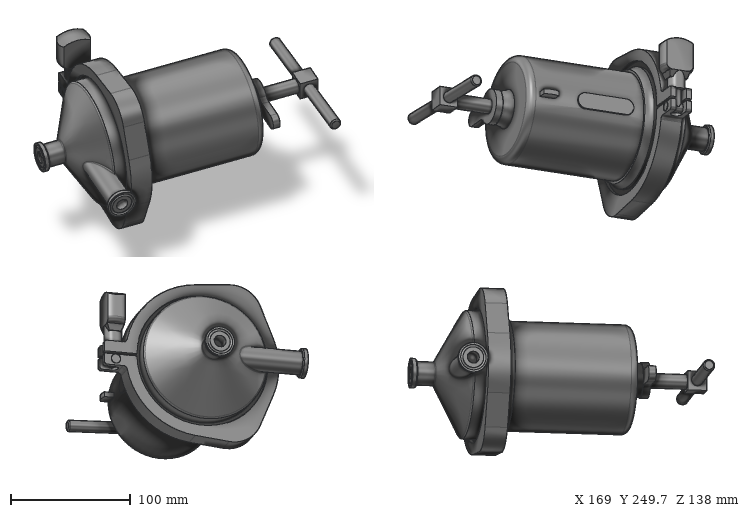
import cadquery as cq
import math

total_length = 249.7
collar_front = 44.0
clamp_front = 54.2
clamp_width = 19.0
clamp_mid = clamp_front + clamp_width / 2
clamp_back = clamp_front + clamp_width
tank_front = 80.1
tank_back = 185.3
lever_front = 194.8
lever_back = 201.0

tank_radius = 46.0
tank_edge_fillet = 6.2
collar_radius = 53.7
collar_chamfer = 1.2
flare_radius = 48.2
flare_root_radius = 51.7
flare_bulge = 0.7
neck_wide_radius = 16.7
neck_narrow_radius = 14.0
neck_bulge = 0.5

clamp_bore_radius = 56.7
flange_rim_radius = 63.7
flange_root_half = 6.2
flange_rim_half = 3.0

pick_margin = 0.2

tube_radius = 10.0
ferrule_radius = 12.5
ferrule_thickness = 4.2
ferrule_chamfer = 1.0
ferrule_bore_radius = 5.0
ferrule_bore_depth = 12.5
gasket_ring_radius = 9.7
gasket_groove_radius = 1.0
outlet_length = 19.5
inlet_y = 38.2
inlet_root_x = 23.0
inlet_end_x = 84.0
weld_fillet = 1.0

block_size = 16.2
stem_radius = 6.2
bar_span = 127.5
bar_radius = 4.87
bar_chamfer = 1.12
bar_tilt = 3.0
lever_disc_radius = 15.0
lever_tip_x = 40.7
lever_half_width = 6.5
lever_fillet = 6.5

tab_reach = 55.2
tab_length = 13.5
tab_mid_y = 168.5
tab_thickness = 4.2
tab_bulge = 1.2
plate_reach = 47.5
plate_length = 51.0
plate_mid_y = 115.4
plate_width = 13.7

ring_radius = 66.5
lobe_radius = 26.5
lobe_x = 25.7
lobe_z = 42.5
ear_end_x = -85.0
ear_half_height = 10.5
ear_corner_fillet = 2.2
ear_root_fillet = 3.5
split_gap = 2.0
slot_width = 9.2
bolt_x = -75.0
bolt_radius = 4.12
pin_z = -5.0
pin_radius = 4.0
pin_overhang = 0.5
knob_depth = 15.0
knob_radius = 14.2
knob_bottom = 26.0
knob_top = 54.5
knob_crown_radius = 23.7
knob_bottom_fillet = 4.7
knob_taper_bottom = 20.2
taper_top_y = 19.0
taper_bottom_x = 10.5
taper_bottom_y = 15.7


def along_y(x, z, y):
    """Workplane at station y whose extrusions run toward +Y; local x is X, local y is -Z."""
    return cq.Workplane("XZ", origin=(x, y, z)).transformed(rotate=(180, 0, 0))


def y_cylinder(radius, y_start, y_end, x=0, z=0):
    return along_y(x, z, y_start).circle(radius).extrude(y_end - y_start)


def bulged_mid(start, end, bulge):
    """Middle point of a concave arc: the chord's middle moved toward the axis."""
    return ((start[0] + end[0]) / 2 - bulge, (start[1] + end[1]) / 2)


def make_ferrule_tube(length):
    """Tube along +Y from its flanged face at y = 0, with a gasket groove and a blind bore."""
    tube = y_cylinder(tube_radius, 0, length)
    flange = y_cylinder(ferrule_radius, 0, ferrule_thickness).faces(">Y").chamfer(ferrule_chamfer)
    groove = (
        cq.Workplane("XY")
        .center(gasket_ring_radius, 0)
        .circle(gasket_groove_radius)
        .revolve(360, (-gasket_ring_radius, 0), (-gasket_ring_radius, 1))
    )
    bore = y_cylinder(ferrule_bore_radius, 0, ferrule_bore_depth)
    return tube.union(flange).cut(groove).cut(bore)


def make_flange():
    """Solid disc with tapered rim, added to the vessel and cut from the clamp."""
    return (
        cq.Workplane("XY")
        .moveTo(0, clamp_mid - flange_root_half)
        .lineTo(clamp_bore_radius, clamp_mid - flange_root_half)
        .lineTo(flange_rim_radius, clamp_mid - flange_rim_half)
        .lineTo(flange_rim_radius, clamp_mid + flange_rim_half)
        .lineTo(clamp_bore_radius, clamp_mid + flange_root_half)
        .lineTo(0, clamp_mid + flange_root_half)
        .close()
        .revolve(360, (0, 0), (0, 1))
    )


def make_shell():
    """Revolved cone, collar, flare, tank and neck."""
    collar_edge = collar_radius - collar_chamfer
    flare_start = (flare_root_radius, clamp_back)
    flare_end = (flare_radius, tank_front)
    neck_start = (neck_wide_radius, tank_back)
    neck_end = (neck_narrow_radius, lever_front)
    round_centre = (tank_radius - tank_edge_fillet, tank_back - tank_edge_fillet)
    diagonal = tank_edge_fillet * math.sqrt(0.5)
    return (
        cq.Workplane("XY")
        .moveTo(0, outlet_length)
        .lineTo(tube_radius, outlet_length)
        .lineTo(collar_edge, collar_front)
        .lineTo(collar_radius, collar_front + collar_chamfer)
        .lineTo(collar_radius, clamp_mid)
        .lineTo(flare_root_radius, clamp_mid)
        .lineTo(*flare_start)
        .threePointArc(bulged_mid(flare_start, flare_end, flare_bulge), flare_end)
        .lineTo(tank_radius, tank_front)
        .lineTo(tank_radius, round_centre[1])
        .threePointArc((round_centre[0] + diagonal, round_centre[1] + diagonal), (round_centre[0], tank_back))
        .lineTo(*neck_start)
        .threePointArc(bulged_mid(neck_start, neck_end, neck_bulge), neck_end)
        .lineTo(0, lever_front)
        .close()
        .revolve(360, (0, 0), (0, 1))
    )


def make_lever():
    """Disc on the neck with a round-ended arm toward +X, blended into the disc."""
    thickness = lever_back - lever_front
    disc = y_cylinder(lever_disc_radius, lever_front, lever_back)
    arm_length = lever_tip_x - lever_half_width
    arm = along_y(arm_length / 2, 0, lever_front).rect(arm_length, 2 * lever_half_width).extrude(thickness)
    tip = y_cylinder(lever_half_width, lever_front, lever_back, x=arm_length)
    corner_x = math.sqrt(lever_disc_radius**2 - lever_half_width**2)
    corners = cq.selectors.BoxSelector(
        (corner_x - pick_margin, lever_front, -lever_half_width - pick_margin),
        (corner_x + pick_margin, lever_back, lever_half_width + pick_margin),
    )
    return disc.union(arm).union(tip).edges("|Y").edges(corners).fillet(lever_fillet)


def make_handle():
    """Stem, square block and a slightly tilted cross bar."""
    block_mid = total_length - block_size / 2
    stem = y_cylinder(stem_radius, lever_front, block_mid)
    block = cq.Workplane("XY").box(block_size, block_size, block_size).translate((0, block_mid, 0))
    bar = (
        cq.Workplane("YZ")
        .circle(bar_radius)
        .extrude(bar_span / 2, both=True)
        .faces("<X or >X")
        .chamfer(bar_chamfer)
        .rotate((0, 0, 0), (0, 1, 0), -bar_tilt)
        .translate((0, block_mid, 0))
    )
    return stem.union(block).union(bar)


def make_tab():
    """Flat tab from the vessel axis outward, with a slightly bowed outer end."""
    front = tab_mid_y - tab_length / 2
    back = tab_mid_y + tab_length / 2
    corner_x = tab_bulge - tab_reach
    return (
        cq.Workplane("XY")
        .moveTo(0, front)
        .lineTo(corner_x, front)
        .threePointArc((-tab_reach, tab_mid_y), (corner_x, back))
        .lineTo(0, back)
        .close()
        .extrude(tab_thickness / 2, both=True)
    )


def make_name_plate():
    return cq.Workplane("YZ").center(plate_mid_y, 0).slot2D(plate_length, plate_width).extrude(-plate_reach)


def make_vessel():
    outlet = make_ferrule_tube(outlet_length)
    inlet = (
        make_ferrule_tube(inlet_end_x - inlet_root_x)
        .rotate((0, 0, 0), (0, 0, 1), 90)
        .translate((inlet_end_x, inlet_y, 0))
    )
    weld_zone = cq.selectors.BoxSelector(
        (inlet_root_x, collar_front - tube_radius, -tube_radius),
        (collar_radius, clamp_front, tube_radius),
    )
    outlet_root = cq.selectors.BoxSelector(
        (-tube_radius, outlet_length - pick_margin, -tube_radius),
        (tube_radius, outlet_length + pick_margin, tube_radius),
    )
    vessel = make_shell().union(make_flange()).union(inlet).union(outlet)
    vessel = vessel.edges(outlet_root).fillet(weld_fillet)
    vessel = vessel.edges(weld_zone).fillet(weld_fillet)
    for piece in (make_lever(), make_handle(), make_tab(), make_name_plate()):
        vessel = vessel.union(piece)
    return vessel


def make_ring_outline():
    """Round plate hulled with two lobes: tangent lines join the ring arc to the lobe arcs."""
    lobe_angle = math.atan2(lobe_z, lobe_x)
    tangent_angle = math.acos((ring_radius - lobe_radius) / math.hypot(lobe_x, lobe_z))
    steep = lobe_angle + tangent_angle
    shallow = lobe_angle - tangent_angle

    def on_ring(angle):
        return (ring_radius * math.cos(angle), ring_radius * math.sin(angle))

    def on_lobe(angle, side):
        x = lobe_x + lobe_radius * math.cos(angle)
        return (x, side * (lobe_z + lobe_radius * math.sin(angle)))

    return (
        along_y(0, 0, clamp_front)
        .moveTo(*on_ring(-shallow))
        .threePointArc((ring_radius, 0), on_ring(shallow))
        .lineTo(*on_lobe(shallow, 1))
        .threePointArc(on_lobe(lobe_angle, 1), on_lobe(steep, 1))
        .lineTo(*on_ring(steep))
        .threePointArc((-ring_radius, 0), on_ring(-steep))
        .lineTo(*on_lobe(steep, -1))
        .threePointArc(on_lobe(lobe_angle, -1), on_lobe(shallow, -1))
        .close()
    )


def make_clamp_ring():
    """Lobed ring with two slotted ears, a split between them and a flange groove in the bore."""
    plate = make_ring_outline().extrude(clamp_width)
    ears = (
        cq.Workplane("XY")
        .box(-ear_end_x, clamp_width, 2 * ear_half_height)
        .translate((ear_end_x / 2, clamp_mid, 0))
        .edges("<X and |Y")
        .fillet(ear_corner_fillet)
    )
    root_x = -math.sqrt(ring_radius**2 - ear_half_height**2)
    roots = cq.selectors.BoxSelector(
        (root_x - pick_margin, clamp_front, -ear_half_height - pick_margin),
        (root_x + pick_margin, clamp_back, ear_half_height + pick_margin),
    )
    ring = plate.union(ears).edges("|Y").edges(roots).fillet(ear_root_fillet)

    split = cq.Workplane("XY").box(-ear_end_x, clamp_width, split_gap).translate((ear_end_x / 2, clamp_mid, 0))
    slot_half_length = bolt_x - ear_end_x
    slot = (
        cq.Workplane("XY")
        .center(bolt_x - slot_half_length, clamp_mid)
        .slot2D(2 * slot_half_length + slot_width, slot_width)
        .extrude(ear_half_height, both=True)
    )
    bore = y_cylinder(clamp_bore_radius, clamp_front, clamp_back)
    groove = make_flange()
    return ring.cut(split).cut(slot).cut(bore).cut(groove)


def make_knob():
    """Flat-sided round knob with a crowned top, standing on a tapered round neck."""
    axis = cq.Workplane("XY", origin=(bolt_x, clamp_mid, 0))
    crown_drop = knob_crown_radius - math.sqrt(knob_crown_radius**2 - knob_radius**2)
    side_top = knob_top - crown_drop
    head = (
        cq.Workplane("YZ", origin=(bolt_x, clamp_mid, 0))
        .moveTo(-knob_radius, knob_bottom)
        .lineTo(knob_radius, knob_bottom)
        .lineTo(knob_radius, side_top)
        .threePointArc((0, knob_top), (-knob_radius, side_top))
        .close()
        .extrude(knob_depth / 2, both=True)
    )
    round_side = axis.circle(knob_radius).extrude(knob_top).translate((0, 0, knob_bottom))
    head = head.intersect(round_side.faces("<Z").edges().fillet(knob_bottom_fillet))
    taper = (
        axis.workplane(offset=knob_taper_bottom)
        .rect(taper_bottom_x, taper_bottom_y)
        .workplane(offset=knob_bottom - knob_taper_bottom)
        .rect(knob_depth, taper_top_y)
        .loft()
    )
    neck = axis.workplane(offset=ear_half_height).circle(knob_depth / 2).extrude(knob_bottom - ear_half_height)
    return head.union(taper).union(neck)


def make_clamp():
    bolt = (
        cq.Workplane("XY", origin=(bolt_x, clamp_mid, pin_z))
        .circle(bolt_radius)
        .extrude(ear_half_height - pin_z)
    )
    pin = y_cylinder(pin_radius, clamp_front - pin_overhang, clamp_back + pin_overhang, x=bolt_x, z=pin_z)
    return make_clamp_ring().union(pin).union(bolt).union(make_knob())


vessel = make_vessel()
clamp = make_clamp()
result = cq.Compound.makeCompound([vessel.val(), clamp.val()])